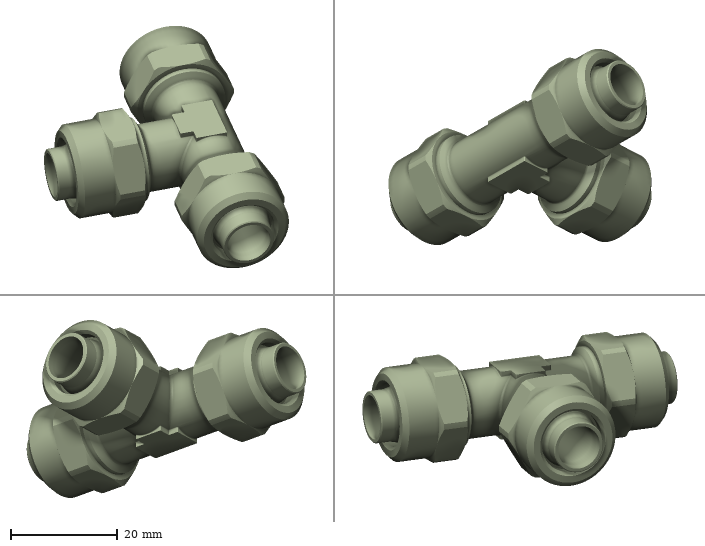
import cadquery as cq
import math

ARM_LENGTH = 30.0
NUT_END = 27.0
HEX_OUTER = 20.0
HEX_INNER = 14.0
COLLAR_INNER = 13.0

BORE_RADIUS = 4.2
SPIGOT_RADIUS = 5.0
PIPE_RADIUS = 6.5
COLLAR_RADIUS = 8.0
NUT_RADIUS = 9.0

HEX_FLATS = 2 * NUT_RADIUS
HEX_CORNER_RADIUS = 10.1
BEVEL_ANGLE = math.radians(30)

NUT_CHAMFER = 1.0
SPIGOT_CHAMFER = 0.2
CROTCH_FILLET = 0.5
COLLAR_FILLET = 0.5
PAD_FILLET = 0.2

SOCKET_RADIUS = 6.05
MOUTH_CHAMFER = 0.6
SPIGOT_FLARE = 0.6
FLARE_LENGTH = 2.4

PAD_WIDTH = 10.2
PAD_HALF_DEPTH = 3.0
TONGUE_WIDTH = 6.0
TONGUE_REACH = 5.5
PAD_HEIGHT = 6.8
CORE_SIDE = 4.8

PICK_MARGIN = 0.05

TURN_AXIS = ((0, 0, 0), (1, 0, 0))


def turn(points):
    """Solid turned about the X axis from (station, radius) points."""
    return cq.Workplane("XY").polyline(points).close().revolve(360, *TURN_AXIS)


def pipe_and_collar():
    """Pipe from the tee centre, flaring at 30 degrees into the collar behind the nut."""
    cone_start = COLLAR_INNER - (COLLAR_RADIUS - PIPE_RADIUS) * math.tan(BEVEL_ANGLE)
    neck = turn([
        (0, 0),
        (0, PIPE_RADIUS),
        (cone_start, PIPE_RADIUS),
        (COLLAR_INNER, COLLAR_RADIUS),
        (HEX_INNER, COLLAR_RADIUS),
        (HEX_INNER, 0),
    ])
    at_cone_start = cq.selectors.BoxSelector(
        (cone_start - PICK_MARGIN, -COLLAR_RADIUS, -COLLAR_RADIUS),
        (cone_start + PICK_MARGIN, COLLAR_RADIUS, COLLAR_RADIUS),
    )
    return neck.edges(at_cone_start).fillet(COLLAR_FILLET)


def nut_and_spigot():
    """Round end of the nut with its socket, and the spigot standing out of it."""
    floor = NUT_END - FLARE_LENGTH
    return turn([
        (HEX_INNER, 0),
        (HEX_INNER, COLLAR_RADIUS),
        (HEX_OUTER, NUT_RADIUS),
        (NUT_END - NUT_CHAMFER, NUT_RADIUS),
        (NUT_END, NUT_RADIUS - NUT_CHAMFER),
        (NUT_END, SOCKET_RADIUS + MOUTH_CHAMFER),
        (NUT_END - MOUTH_CHAMFER, SOCKET_RADIUS),
        (floor, SOCKET_RADIUS),
        (floor, SPIGOT_RADIUS + SPIGOT_FLARE),
        (NUT_END, SPIGOT_RADIUS),
        (ARM_LENGTH - SPIGOT_CHAMFER, SPIGOT_RADIUS),
        (ARM_LENGTH, SPIGOT_RADIUS - SPIGOT_CHAMFER),
        (ARM_LENGTH, 0),
    ])


def hexagon():
    """Hexagon with flats on +Z and -Z, its corners trimmed by a bevelled cylinder."""
    prism = (
        cq.Workplane("YZ", origin=(HEX_INNER, 0, 0))
        .polygon(6, HEX_FLATS / math.cos(math.pi / 6))
        .extrude(HEX_OUTER - HEX_INNER)
    )
    bevel = (HEX_CORNER_RADIUS - NUT_RADIUS) * math.tan(BEVEL_ANGLE)
    envelope = turn([
        (HEX_INNER, 0),
        (HEX_INNER, NUT_RADIUS),
        (HEX_INNER + bevel, HEX_CORNER_RADIUS),
        (HEX_OUTER - bevel, HEX_CORNER_RADIUS),
        (HEX_OUTER, NUT_RADIUS),
        (HEX_OUTER, 0),
    ])
    return prism.intersect(envelope)


def pads():
    """T-shaped block whose top and bottom faces stand proud of the pipes."""
    plate = cq.Workplane("XY").box(PAD_WIDTH, 2 * PAD_HALF_DEPTH, 2 * PAD_HEIGHT)
    tongue = cq.Workplane("XY").box(TONGUE_WIDTH, TONGUE_REACH, 2 * PAD_HEIGHT)
    block = plate.union(tongue.translate((0, -TONGUE_REACH / 2, 0)))
    return block.edges("|Z and (<X or >X or <Y)").fillet(PAD_FILLET)


def on_every_arm(shape):
    """Union of a shape built along +X, repeated on the +X, -X and -Y arms."""
    arms = shape
    for angle in (180, -90):
        arms = arms.union(shape.rotate((0, 0, 0), (0, 0, 1), angle))
    return arms


def round_pad_roots(body):
    """Round the edges where the pad walls meet the pipes, on the top and then the bottom."""
    lowest_root = PIPE_RADIUS / 2
    highest_root = PAD_HEIGHT - PICK_MARGIN
    for bottom, top in ((lowest_root, highest_root), (-highest_root, -lowest_root)):
        roots = cq.selectors.BoxSelector(
            (-PAD_WIDTH / 2 - PICK_MARGIN, -TONGUE_REACH - PICK_MARGIN, bottom),
            (PAD_WIDTH / 2 + PICK_MARGIN, PAD_HALF_DEPTH + PICK_MARGIN, top),
            boundingbox=True,
        )
        body = body.edges(roots).fillet(PAD_FILLET)
    return body


core = cq.Workplane("XY").box(CORE_SIDE, CORE_SIDE, 2 * PIPE_RADIUS)
pipes = on_every_arm(pipe_and_collar()).union(core)
rounded_pipes = pipes.edges("%ELLIPSE").edges("<Y").fillet(CROTCH_FILLET)
body = round_pad_roots(rounded_pipes.union(pads()))

fittings = on_every_arm(nut_and_spigot().union(hexagon()))
bore = cq.Workplane("YZ").circle(BORE_RADIUS).extrude(ARM_LENGTH)

result = body.union(fittings).cut(on_every_arm(bore))